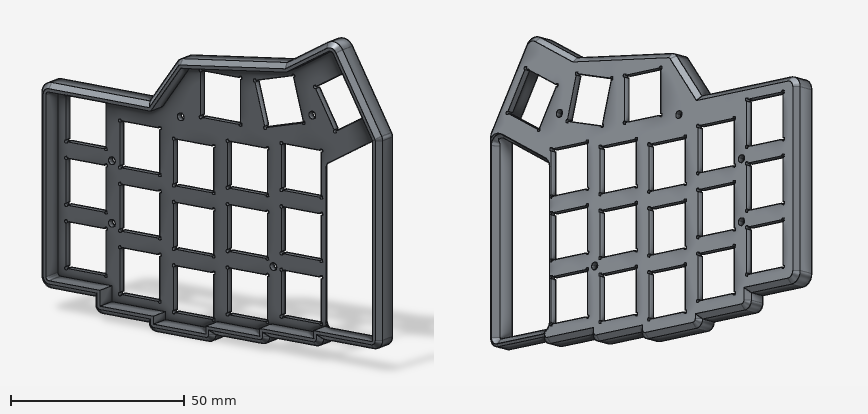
import cadquery as cq
length = 120.2
height = 96.8
depth = 8.0
front = -depth / 2
back = depth / 2

wall = 2.5
rim = 1.0
bevel = wall - rim
bevel_angle = 45
corner_radius = 1.0
window_corner_radius = 0.5
peak_radius = 1.3

plate_thickness = 2.0
plate_front = back - plate_thickness

key_pitch = 19.0
key_size = 14.0
relief_radius = 0.5
row_count = 3
stagger = key_pitch / 8
column_drops = [0, 2 * stagger, 3 * stagger, 2 * stagger, stagger]
first_key_x = -47.7
first_key_z = 8.9

thumb_keys = [(-0.2, 23.8, 0), (20.4, 25.8, 15), (42.7, 29.7, 30)]

screw_diameter = 2.3
screw_centres = [(-14.3, 15.7), (-38.6, -1.3), (-38.6, -20.1), (32.1, 23.7), (18.4, -23.9)]

inner_right = length / 2 - wall
inner_left = -inner_right
floor_low = -height / 2 + wall
floor_1 = floor_low + stagger
floor_2 = floor_low + 2 * stagger
floor_top = floor_low + 3 * stagger
left_top = 17.8
peak = (43.1, 46.4)
bottom_left_corner = (inner_left, floor_top)
top_left_corner = (inner_left, left_top)
bottom_right_corner = (inner_right, floor_top)

inner_outline = [
    bottom_left_corner,
    top_left_corner,
    (-20.7, left_top),
    (-10.1, 32.3),
    (27.2, 37.1),
    peak,
    (inner_right, 21.5),
    bottom_right_corner,
    (36.8, floor_top),
    (36.8, floor_2),
    (17.8, floor_2),
    (17.8, floor_1),
    (-1.2, floor_1),
    (-1.2, floor_low),
    (-19.7, floor_low),
    (-19.7, floor_1),
    (-38.6, floor_1),
    (-38.6, floor_top),
]

window_front = 1.2
window_flare = 1.8
window_left = 37.7
window_top_left = (window_left, 9.3)
window_top_right = (inner_right, 20.8)
window_bottom_left = (window_left, floor_top)
window_radius = 1.2


def prism(points, y_start, y_end):
    """Solid with the given X-Z outline between two depths."""
    outline = cq.Workplane("XZ", origin=(0, y_start, 0)).polyline(points).close()
    return outline.extrude(y_start - y_end)


def round_edge(body, point, radius):
    """Fillet the edge that runs along Y through one X-Z point."""
    x, z = point
    reach = 0.1
    edge = cq.selectors.BoxSelector((x - reach, -depth, z - reach), (x + reach, depth, z + reach))
    return body.edges(edge).fillet(radius)


def make_cavity():
    """Space enclosed by the wall, over the full depth."""
    cavity = prism(inner_outline, front, back)
    for corner in (bottom_left_corner, top_left_corner):
        cavity = round_edge(cavity, corner, corner_radius)
    cavity = round_edge(cavity, bottom_right_corner, window_corner_radius)
    return round_edge(cavity, peak, peak_radius)


def grown_outline(body, distance):
    """Front outline of a body, offset outward with round corners."""
    return body.faces("<Y").wires().toPending().offset2D(distance)


def make_outer_body(cavity):
    """Cavity grown by the wall, with bevelled front and back edges."""
    middle = grown_outline(cavity, wall).extrude(2 * bevel - depth, combine=False)
    middle = middle.translate((0, bevel, 0))
    front_bevel = grown_outline(cavity, rim).extrude(-bevel, taper=-bevel_angle, combine=False)
    back_bevel = front_bevel.mirror("XZ")
    return middle.union(front_bevel).union(back_bevel)


def make_key_cutter():
    """Square opening at the origin with a small relief circle at each corner."""
    square = cq.Workplane("XZ").rect(key_size, key_size)
    cutter = square.extrude(depth, both=True)
    reliefs = cq.Workplane("XZ").rect(key_size, key_size, forConstruction=True).vertices()
    return cutter.union(reliefs.circle(relief_radius).extrude(depth, both=True))


def key_places():
    """Centre X, centre Z and tilt of every key."""
    places = list(thumb_keys)
    for column, drop in enumerate(column_drops):
        for row in range(row_count):
            x = first_key_x + column * key_pitch
            z = first_key_z - drop - row * key_pitch
            places.append((x, z, 0))
    return places


def make_window():
    """Opening flush with the right wall and the floor at its front, flaring out behind."""
    corners = [window_bottom_left, window_top_left, window_top_right, bottom_right_corner]
    core = prism(corners, window_front, back)
    for corner in (window_bottom_left, window_top_left, window_top_right):
        core = round_edge(core, corner, window_radius)
    core = round_edge(core, bottom_right_corner, window_corner_radius)
    flare = core.faces("<Y").wires().toPending().extrude(-window_flare, taper=-bevel_angle, combine=False)
    straight_depth = back - window_front - window_flare
    straight = grown_outline(core, window_flare).extrude(-straight_depth, combine=False)
    return flare.union(straight.translate((0, window_flare, 0)))


cavity = make_cavity()
front_recess = cavity.intersect(prism(inner_outline, front, plate_front))
result = make_outer_body(cavity).cut(front_recess)

key_cutter = make_key_cutter()
for key_x, key_z, tilt in key_places():
    turned = key_cutter.rotate((0, 0, 0), (0, -1, 0), tilt)
    result = result.cut(turned.translate((key_x, 0, key_z)))

screw_holes = cq.Workplane("XZ").pushPoints(screw_centres).circle(screw_diameter / 2)
result = result.cut(screw_holes.extrude(depth, both=True))
result = result.cut(make_window())